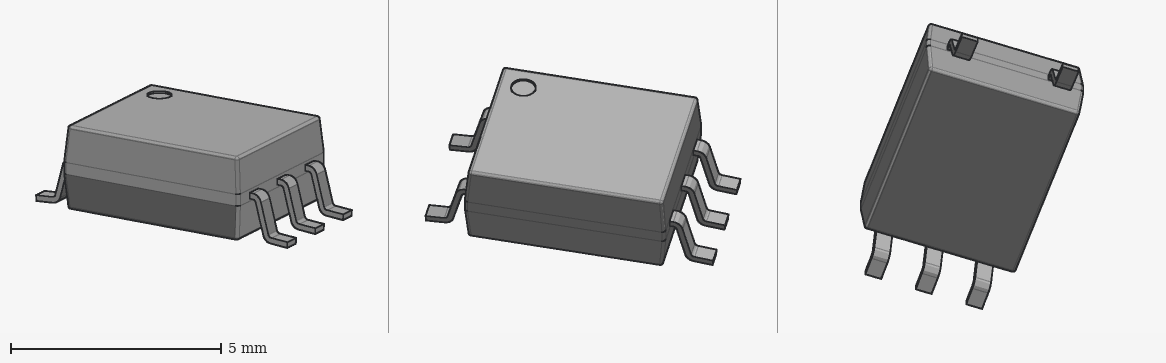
import cadquery as cq
import math

body_length = 4.9
body_width = 3.95
band_height = 0.295
half_height = 0.9
draft_angle = 5.0
edge_radius = 0.08
standoff = 0.105

mark_diameter = 0.59
mark_depth = 0.05
mark_x = -1.75
mark_y = 1.28

lead_span = 7.02
lead_width = 0.4
lead_thickness = 0.15
lead_pitch = 1.27
inner_bend_radius = 0.09
leg_lean = 15.0
foot_slope = 4.0
bend_x = 2.66
lead_drop = 0.02
lead_embed = 0.14

band_bottom = standoff + half_height
band_middle = band_bottom + band_height / 2
band_top = band_bottom + band_height
body_top = band_top + half_height


def make_body():
    band = (
        cq.Workplane("XY", origin=(0, 0, band_bottom))
        .rect(body_length, body_width)
        .extrude(band_height)
        .edges("|Z")
        .fillet(edge_radius)
    )
    upper = (
        cq.Workplane("XY", origin=(0, 0, band_top))
        .rect(body_length, body_width)
        .extrude(half_height, taper=draft_angle)
        .edges("not <Z")
        .fillet(edge_radius)
    )
    lower = upper.mirror("XY", (0, 0, band_middle))
    body = band.union(upper).union(lower)
    mark = (
        cq.Workplane("XY", origin=(mark_x, mark_y, body_top - mark_depth))
        .circle(mark_diameter / 2)
        .extrude(mark_depth)
    )
    return body.cut(mark)


def make_lead(y):
    """Lead on the +X side, bent from a constant-thickness strip."""
    slope = math.radians(foot_slope)
    leg_angle = math.pi / 2 - math.radians(leg_lean)
    half = lead_thickness / 2

    shoulder_z = band_middle - lead_drop
    root = (body_length / 2 - lead_embed, shoulder_z)
    shoulder = (bend_x, shoulder_z)
    toe = (lead_span / 2 - half * math.sin(slope), half * math.cos(slope))
    drop = shoulder[1] - toe[1] - (toe[0] - shoulder[0]) * math.tan(slope)
    leg_run = drop / (math.tan(leg_angle) - math.tan(slope))
    ankle = (shoulder[0] + leg_run, shoulder[1] - leg_run * math.tan(leg_angle))

    def shifted(point, angle_before, angle_after, side):
        """Move a centerline corner to the upper (+1) or lower (-1) face of the strip."""
        normal = (angle_before + angle_after) / 2
        reach = side * half / math.cos((angle_after - angle_before) / 2)
        return (point[0] + reach * math.sin(normal), point[1] + reach * math.cos(normal))

    def face_points(side):
        return [
            shifted(root, 0, 0, side),
            shifted(shoulder, 0, leg_angle, side),
            shifted(ankle, leg_angle, slope, side),
            shifted(toe, slope, slope, side),
        ]

    upper = face_points(1)
    lower = face_points(-1)
    strip = (
        cq.Workplane("XZ", origin=(0, y + lead_width / 2, 0))
        .polyline(upper + lower[::-1])
        .close()
        .extrude(lead_width)
    )

    def round_bend(solid, corner, radius):
        nearest = cq.selectors.NearestToPointSelector((corner[0], y, corner[1]))
        return solid.edges("|Y").edges(nearest).fillet(radius)

    outer_bend_radius = inner_bend_radius + lead_thickness
    strip = round_bend(strip, upper[1], outer_bend_radius)
    strip = round_bend(strip, lower[1], inner_bend_radius)
    strip = round_bend(strip, upper[2], inner_bend_radius)
    return round_bend(strip, lower[2], outer_bend_radius)


result = make_body()
for y in (-lead_pitch, 0, lead_pitch):
    result = result.union(make_lead(y))
for y in (-lead_pitch, lead_pitch):
    result = result.union(make_lead(y).mirror("YZ"))